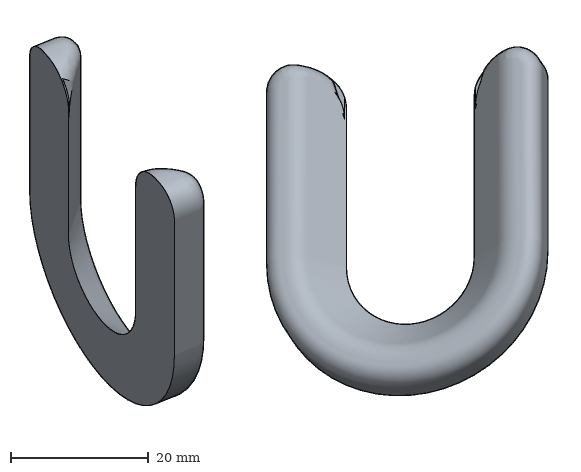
import cadquery as cq
import math

height = 51.0
thickness = 6.0
outer_radius = 20.5
inner_radius = 9.5
tip_outer_radius = 4.0
tip_inner_radius = 6.0
rim_round = 2.4
ridge_round = 4.2
front_margin = 0.25

bend_z = outer_radius
leg_length = height - bend_z
leg_width = outer_radius - inner_radius

slope = math.radians(45)
ridge_tangent = ridge_round * math.tan(slope / 2)
ridge_centre_x = inner_radius + thickness + ridge_tangent
ridge_centre_y = thickness - ridge_round


def ridge_point(angle):
    """Point on the ridge rounding, at an angle turned inwards from its back tangent."""
    return (
        ridge_centre_x - ridge_round * math.sin(angle),
        ridge_centre_y + ridge_round * math.cos(angle),
    )


def inner_half_section():
    """Open cross-section outline: front face, sloped inner wall and ridge rounding."""
    plane = cq.Plane(origin=(0, 0, bend_z), xDir=(1, 0, 0), normal=(0, 0, 1))
    return (
        cq.Workplane(plane)
        .moveTo(outer_radius, 0)
        .lineTo(inner_radius, 0)
        .lineTo(*ridge_point(slope))
        .threePointArc(ridge_point(slope / 2), ridge_point(0))
    )


def make_bend():
    """Lower half-turn of the U, with its outer back edge rounded."""
    rim_offset = rim_round * math.sin(math.radians(45))
    section = (
        inner_half_section()
        .lineTo(outer_radius - rim_round, thickness)
        .threePointArc(
            (outer_radius - rim_round + rim_offset, thickness - rim_round + rim_offset),
            (outer_radius, thickness - rim_round),
        )
        .close()
    )
    return section.revolve(180, (0, 0), (0, 1))


def make_leg():
    """Right leg with its rounded tip; one rounding runs along the outer edge and over the tip."""
    bar = inner_half_section().lineTo(outer_radius, thickness).close().extrude(leg_length)
    tip_column = (
        cq.Workplane("XY")
        .box(leg_width, thickness, leg_length, centered=False)
        .translate((inner_radius, 0, bend_z))
        .edges("|Y and >Z and >X").fillet(tip_outer_radius)
        .edges("|Y and >Z and <X").fillet(tip_inner_radius)
    )
    leg = bar.intersect(tip_column)

    front_layer = (
        cq.Workplane("XY")
        .box(leg_width, front_margin, leg_length, centered=False)
        .translate((inner_radius, 0, bend_z))
    )
    rounded_back = leg.cut(front_layer).edges("|Z and >X and >Y").fillet(rim_round)
    return rounded_back.union(leg.intersect(front_layer))


right_leg = make_leg()
result = make_bend().union(right_leg).union(right_leg.mirror("YZ"))